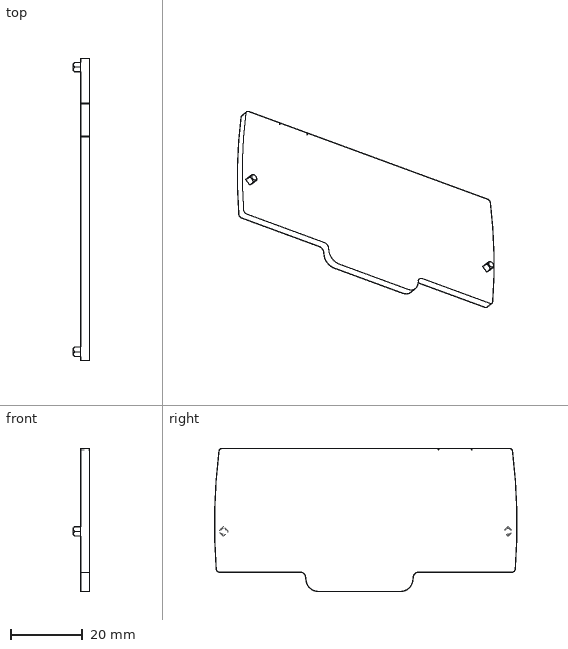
import cadquery as cq
import math

plate_thickness = 2.5
plate_height = 34.4
plate_half_width = 42.0
widest_level = 13.4
end_radius = 165.0
corner_radius = 1.0

tab_drop = 5.35
tab_root_width = 30.3
tab_taper = 7.5
tab_center_y = -1.75
tab_corner_radius = 3.5
tab_root_radius = 1.4

pin_length = 2.2
pin_side = 1.9
pin_y = 39.5
pin_below_top = 23.05
pin_tip_radius = 0.8

score_width = 0.25
score_depth = 0.5
score_positions = (29.4, 20.2)


def end_half_width(level):
    """Half width of the bowed plate at a height above its lower edge."""
    rise = level - widest_level
    return plate_half_width - end_radius + math.sqrt(end_radius**2 - rise**2)


def make_panel():
    """Panel with bowed ends and rounded corners; its lower edge lies at Z = 0."""
    bottom_half = end_half_width(0)
    top_half = end_half_width(plate_height)
    return (
        cq.Workplane("YZ")
        .moveTo(-bottom_half, 0)
        .lineTo(bottom_half, 0)
        .threePointArc((plate_half_width, widest_level), (top_half, plate_height))
        .lineTo(-top_half, plate_height)
        .threePointArc((-plate_half_width, widest_level), (-bottom_half, 0))
        .close()
        .extrude(plate_thickness)
        .edges("|X")
        .fillet(corner_radius)
    )


def add_tab(panel):
    """Join the tapered tab to the panel's lower edge, rounding its corners and roots."""
    root_half = tab_root_width / 2
    tip_half = root_half - tab_drop * math.tan(math.radians(tab_taper))
    tab = (
        cq.Workplane("YZ")
        .moveTo(tab_center_y - root_half, 0)
        .lineTo(tab_center_y - tip_half, -tab_drop)
        .lineTo(tab_center_y + tip_half, -tab_drop)
        .lineTo(tab_center_y + root_half, 0)
        .close()
        .extrude(plate_thickness)
        .edges("|X and <Z")
        .fillet(tab_corner_radius)
    )
    plate = panel.union(tab)
    for root_y in (tab_center_y - root_half, tab_center_y + root_half):
        root_edge = cq.selectors.NearestToPointSelector((plate_thickness / 2, root_y, 0))
        plate = plate.edges("|X").edges(root_edge).fillet(tab_root_radius)
    return plate


def make_pin(end):
    """Pin on the -X face at one end (end = 1 or -1), its tip turned down to a 45 degree cone."""
    square = (
        cq.Workplane("YZ")
        .rect(pin_side, pin_side)
        .extrude(-pin_length)
        .rotate((0, 0, 0), (1, 0, 0), 45)
    )
    envelope = (
        cq.Workplane("XY")
        .lineTo(-pin_length, 0)
        .lineTo(-pin_length, pin_tip_radius)
        .lineTo(0, pin_tip_radius + pin_length)
        .close()
        .revolve(360, (0, 0, 0), (1, 0, 0))
    )
    return square.intersect(envelope).translate((0, end * pin_y, plate_height - pin_below_top))


def make_score(position):
    """Cutter for one narrow V groove across the top edge."""
    return (
        cq.Workplane("YZ")
        .moveTo(position - score_width / 2, plate_height)
        .lineTo(position, plate_height - score_depth)
        .lineTo(position + score_width / 2, plate_height)
        .close()
        .extrude(plate_thickness)
    )


result = add_tab(make_panel())
for end in (1, -1):
    result = result.union(make_pin(end))
for score_position in score_positions:
    result = result.cut(make_score(score_position))